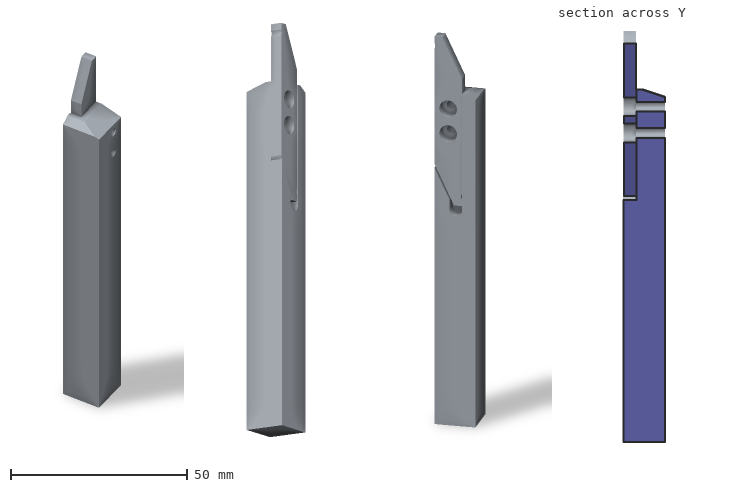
import cadquery as cq
import math

bar_width = 12.0
bar_top = 100.0

side_bevel_start = 5.6
side_bevel_drop = 2.1
front_bevel_width = 2.6
front_bevel_drop = 1.6

overall_height = 116.5
blade_length = 50.3
blade_width = 8.0
blade_thickness = 3.5
blade_inset = 0.2
tip_width = 2.3
tip_height = 12.0
blade_back = bar_width
blade_front = blade_back - blade_width
blade_top = overall_height
blade_bottom = blade_top - blade_length

groove_width = 1.7
groove_depth = 0.2
groove_offset = 2.8
groove_radius = (groove_width ** 2 / 4 + groove_depth ** 2) / (2 * groove_depth)
groove_axis_gap = groove_radius - groove_depth

pocket_depth = blade_inset + blade_thickness
front_clearance = 0.1
slope_clearance = 0.5
relief_radius = 1.9
pocket_front = blade_front - front_clearance
relief_y = pocket_front + relief_radius
relief_z = 65.0

blade_hole_diameter = 5.1
housing_hole_diameter = 2.6
upper_hole_z = 95.1
hole_spacing = 7.5
hole_y = blade_back - blade_width / 2
hole_centers = [(hole_y, upper_hole_z - i * hole_spacing) for i in range(2)]


def holes(diameter):
    """Cylinders along X that pass through the whole bar."""
    return cq.Workplane("YZ").pushPoints(hole_centers).circle(diameter / 2).extrude(bar_width)


def make_bar():
    """Square bar whose top slopes down towards +X and towards -Y."""
    side_profile = (
        cq.Workplane("XZ")
        .polyline([
            (0, 0),
            (bar_width, 0),
            (bar_width, bar_top - side_bevel_drop),
            (side_bevel_start, bar_top),
            (0, bar_top),
        ])
        .close()
        .extrude(-bar_width)
    )
    front_profile = (
        cq.Workplane("YZ")
        .polyline([
            (0, 0),
            (bar_width, 0),
            (bar_width, bar_top),
            (front_bevel_width, bar_top),
            (0, bar_top - front_bevel_drop),
        ])
        .close()
        .extrude(bar_width)
    )
    return side_profile.intersect(front_profile)


def make_pocket():
    """Blade recess, open at the back and top, ending in a round relief."""
    slope = tip_height / (blade_width - tip_width)
    slope_shift = slope_clearance * math.hypot(1, slope)
    slope_back_z = blade_bottom + tip_height - slope_shift
    relief_back = relief_y + relief_radius
    slope_end_z = slope_back_z - (blade_back - relief_back) * slope
    return (
        cq.Workplane("YZ")
        .moveTo(pocket_front, bar_top)
        .lineTo(pocket_front, relief_z)
        .threePointArc((relief_y, relief_z - relief_radius), (relief_back, relief_z))
        .lineTo(relief_back, slope_end_z)
        .lineTo(blade_back, slope_back_z)
        .lineTo(blade_back, bar_top)
        .close()
        .extrude(pocket_depth)
    )


def make_housing():
    return make_bar().cut(make_pocket()).cut(holes(housing_hole_diameter))


def make_blade():
    plate = (
        cq.Workplane("YZ", origin=(blade_inset, 0, 0))
        .polyline([
            (blade_front, blade_bottom),
            (blade_front + tip_width, blade_bottom),
            (blade_back, blade_bottom + tip_height),
            (blade_back, blade_top),
            (blade_back - tip_width, blade_top),
            (blade_front, blade_top - tip_height),
        ])
        .close()
        .extrude(blade_thickness)
    )
    chip_grooves = (
        cq.Workplane("YZ", origin=(blade_inset, 0, 0))
        .pushPoints([
            (blade_back + groove_axis_gap, blade_top - groove_offset),
            (blade_front - groove_axis_gap, blade_bottom + groove_offset),
        ])
        .circle(groove_radius)
        .extrude(blade_thickness)
    )
    return plate.cut(chip_grooves).cut(holes(blade_hole_diameter))


housing = make_housing()
blade = make_blade()

result = cq.Compound.makeCompound([housing.val(), blade.val()])